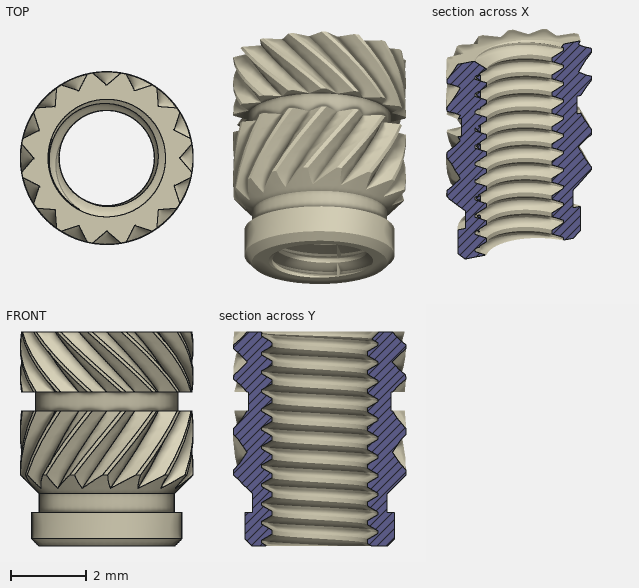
import cadquery as cq
import math

total_height = 5.7
knurl_diameter = 4.6
upper_groove_diameter = 3.8
lower_groove_diameter = 3.6
flange_diameter = 4.0

flange_height = 0.9
flange_chamfer = (flange_diameter - lower_groove_diameter) / 2
groove_height = 0.5
lower_knurl_height = 2.2
lower_knurl_base = flange_height + groove_height
lower_knurl_top = lower_knurl_base + lower_knurl_height
upper_knurl_base = lower_knurl_top + groove_height
upper_knurl_height = total_height - upper_knurl_base

tooth_count = 16
tooth_pitch_angle = 360 / tooth_count
land_angle = 3.3
valley_radius = 1.94
knurl_twist = 2 * tooth_pitch_angle

thread_pitch = 0.5
thread_minor_diameter = 2.53
thread_major_diameter = 3.09
thread_root_flat = thread_pitch / 8
thread_flank_half_angle = 30
thread_top_angle = 234
thread_overrun_turns = 2
cutter_overlap = 0.04
bore_chamfer = 0.3


def polar_point(radius, angle):
    return (radius * math.cos(math.radians(angle)), radius * math.sin(math.radians(angle)))


def cylinder(diameter, base, height):
    return cq.Workplane("XY").workplane(offset=base).circle(diameter / 2).extrude(height)


def knurl(base, height, twist):
    """Toothed band whose cross-section turns by `twist` degrees over its height."""
    radius = knurl_diameter / 2
    half_pitch = tooth_pitch_angle / 2
    profile = cq.Workplane("XY").workplane(offset=base).moveTo(*polar_point(valley_radius, 0))
    for tooth in range(tooth_count):
        land_middle = tooth * tooth_pitch_angle + half_pitch
        profile = profile.lineTo(*polar_point(radius, land_middle - land_angle / 2))
        profile = profile.threePointArc(
            polar_point(radius, land_middle),
            polar_point(radius, land_middle + land_angle / 2),
        )
        if tooth < tooth_count - 1:
            profile = profile.lineTo(*polar_point(valley_radius, land_middle + half_pitch))
    return profile.close().twistExtrude(height, twist)


def lower_knurl():
    """Lower knurl, tapered at 45 degrees down to the groove below it."""
    radius = knurl_diameter / 2
    groove_radius = lower_groove_diameter / 2
    taper_top = lower_knurl_base + radius - groove_radius
    envelope = (
        cq.Workplane("XZ")
        .moveTo(0, lower_knurl_base)
        .lineTo(groove_radius, lower_knurl_base)
        .lineTo(knurl_diameter, taper_top + radius)
        .lineTo(0, taper_top + radius)
        .close()
        .revolve(360, (0, 0), (0, 1))
    )
    return knurl(lower_knurl_base, lower_knurl_height, knurl_twist).intersect(envelope)


def outer_body():
    flange = cylinder(flange_diameter, 0, flange_height).faces("<Z").chamfer(flange_chamfer)
    lower_groove = cylinder(lower_groove_diameter, flange_height, groove_height)
    upper_groove = cylinder(upper_groove_diameter, lower_knurl_top, groove_height)
    upper_knurl = knurl(upper_knurl_base, upper_knurl_height, -knurl_twist)
    return flange.union(lower_groove).union(lower_knurl()).union(upper_groove).union(upper_knurl)


def thread_cutter():
    """One-turn helical trapezoids, stacked end to end, that cut the thread groove."""
    minor_radius = thread_minor_diameter / 2
    major_radius = thread_major_diameter / 2
    inner_radius = minor_radius - cutter_overlap
    half_root = thread_root_flat / 2
    flank_slope = math.tan(math.radians(thread_flank_half_angle))
    half_mouth = half_root + (major_radius - inner_radius) * flank_slope
    helix = cq.Wire.makeHelix(thread_pitch, thread_pitch, major_radius)
    profile = (
        cq.Workplane("XZ")
        .moveTo(inner_radius, -half_mouth)
        .lineTo(major_radius, -half_root)
        .lineTo(major_radius, half_root)
        .lineTo(inner_radius, half_mouth)
        .close()
    )
    turn = profile.sweep(cq.Workplane(helix), isFrenet=True)
    turn = turn.rotate((0, 0, 0), (0, 0, 1), thread_top_angle)
    turn_count = math.ceil(total_height / thread_pitch) + thread_overrun_turns
    turns = [turn.val().translate((0, 0, total_height - step * thread_pitch)) for step in range(turn_count)]
    return cq.Workplane(cq.Compound.makeCompound(turns))


def mouth_chamfer():
    """Cone that widens the top of the bore."""
    mouth_radius = thread_minor_diameter / 2 + bore_chamfer
    return (
        cq.Workplane("XZ")
        .moveTo(0, total_height)
        .lineTo(mouth_radius, total_height)
        .lineTo(0, total_height - mouth_radius)
        .close()
        .revolve(360, (0, 0), (0, 1))
    )


bore = cylinder(thread_minor_diameter, 0, total_height)
result = outer_body().cut(bore).cut(thread_cutter()).cut(mouth_chamfer())